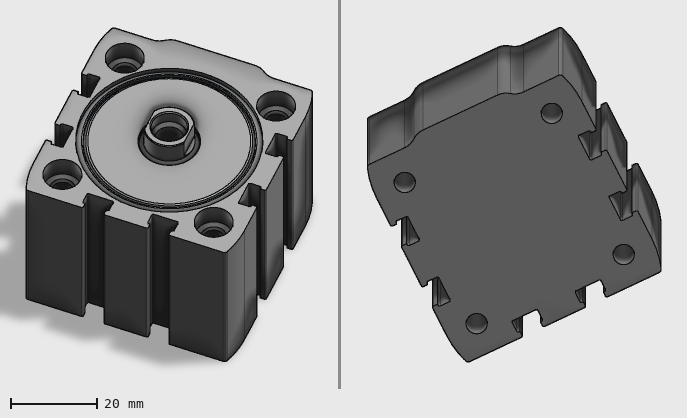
import cadquery as cq
import math

housing_width = 53.0
half_width = housing_width / 2
housing_height = 39.5

housing_length = 55.0
back_y = housing_length - half_width
back_flat_half = 9.55
back_step_length = 5.8

corner_arc_start_y = 18.55
corner_arc_radius = 22.0
corner_fillet = 0.9
corner_pick_margin = 0.05

slot_offset = 8.15
slot_opening = 5.2
slot_inner_width = 6.6
slot_lip = 1.45
slot_depth = 4.5
slot_edge_fillet = 0.4
slot_inner_fillet = 0.4

mount_offset = 19.0
mount_hole_diameter = 4.9
mount_chamfer_diameter = 6.0
mount_counterbore_diameter = 9.0
mount_counterbore_depth = 5.2

cap_recess_diameter = 43.4
cap_edge_diameter = 40.7
cap_groove_diameter = 40.0
cap_bevel_outer_diameter = 38.7
cap_face_diameter = 37.8
cap_depth = 0.4
cap_bevel_depth = 0.15
cap_rim_drop = 0.9
seal_bore_diameter = 14.1
seal_bore_chamfer = 0.2

rod_diameter = 12.0
rod_top_z = 44.5
rod_length = 24.95
rod_top_chamfer = 0.2
rod_flat_width = 10.0
rod_flat_start = 0.2
rod_flat_run_out = 0.5
thread_hole_diameter = 6.65
thread_hole_depth = 12.0
thread_tip_angle = 118.0
relief_diameter = 8.4
relief_depth = 3.3
relief_cone_depth = 0.9
mouth_diameter = 9.0

rod_radius = rod_diameter / 2
rod_bottom_z = rod_top_z - rod_length


def make_block():
    """Extruded outline with curved corners and the raised back."""
    arc_rise = half_width - corner_arc_start_y
    arc_inset = corner_arc_radius - math.sqrt(corner_arc_radius**2 - arc_rise**2)
    middle_rise = arc_rise / 2
    middle_inset = corner_arc_radius - math.sqrt(corner_arc_radius**2 - middle_rise**2)
    corner_x = half_width - arc_inset
    middle_x = half_width - middle_inset
    middle_y = corner_arc_start_y + middle_rise

    step_start_x = back_flat_half + back_step_length
    step_middle_x = back_flat_half + back_step_length / 2
    step_middle_y = (half_width + back_y) / 2

    block = (
        cq.Workplane("XY")
        .moveTo(-corner_x, -half_width)
        .lineTo(corner_x, -half_width)
        .threePointArc((middle_x, -middle_y), (half_width, -corner_arc_start_y))
        .lineTo(half_width, corner_arc_start_y)
        .threePointArc((middle_x, middle_y), (corner_x, half_width))
        .lineTo(step_start_x, half_width)
        .tangentArcPoint((step_middle_x, step_middle_y), relative=False)
        .tangentArcPoint((back_flat_half, back_y), relative=False)
        .lineTo(-back_flat_half, back_y)
        .tangentArcPoint((-step_middle_x, step_middle_y), relative=False)
        .tangentArcPoint((-step_start_x, half_width), relative=False)
        .lineTo(-corner_x, half_width)
        .threePointArc((-middle_x, middle_y), (-half_width, corner_arc_start_y))
        .lineTo(-half_width, -corner_arc_start_y)
        .threePointArc((-middle_x, -middle_y), (-corner_x, -half_width))
        .close()
        .extrude(housing_height)
    )
    for side_x in (-1, 1):
        for side_y in (-1, 1):
            x = side_x * corner_x
            y = side_y * half_width
            corner_edges = cq.selectors.BoxSelector(
                (x - corner_pick_margin, y - corner_pick_margin, 0),
                (x + corner_pick_margin, y + corner_pick_margin, housing_height),
            )
            block = block.edges(corner_edges).fillet(corner_fillet)
    return block


def make_slot_cutter():
    """T-slot cut into the -Y side, centred on x = 0, with rounded opening edges."""
    half_opening = slot_opening / 2
    mouth = half_opening + slot_edge_fillet
    arc_offset = slot_edge_fillet * (1 - math.sqrt(0.5))
    floor_y = slot_depth - half_width
    lip_y = slot_lip - half_width
    opening = (
        cq.Workplane("XY")
        .moveTo(-mouth, -half_width)
        .threePointArc(
            (-half_opening - arc_offset, arc_offset - half_width),
            (-half_opening, slot_edge_fillet - half_width),
        )
        .lineTo(-half_opening, floor_y)
        .lineTo(half_opening, floor_y)
        .lineTo(half_opening, slot_edge_fillet - half_width)
        .threePointArc((half_opening + arc_offset, arc_offset - half_width), (mouth, -half_width))
        .close()
        .extrude(housing_height)
    )
    chamber = (
        cq.Workplane("XY")
        .center(0, (lip_y + floor_y) / 2)
        .rect(slot_inner_width, floor_y - lip_y)
        .extrude(housing_height)
        .edges("|Z")
        .fillet(slot_inner_fillet)
    )
    return opening.union(chamber)


def make_mount_hole_cutter():
    """Through hole with a counterbore and a chamfer at the counterbore floor, on the z axis."""
    hole_radius = mount_hole_diameter / 2
    chamfer_radius = mount_chamfer_diameter / 2
    counterbore_radius = mount_counterbore_diameter / 2
    floor_z = housing_height - mount_counterbore_depth
    return (
        cq.Workplane("XZ")
        .polyline(
            [
                (0, 0),
                (hole_radius, 0),
                (hole_radius, floor_z - (chamfer_radius - hole_radius)),
                (chamfer_radius, floor_z),
                (counterbore_radius, floor_z),
                (counterbore_radius, housing_height),
                (0, housing_height),
            ]
        )
        .close()
        .revolve(360, (0, 0), (0, 1))
    )


def make_cap_cutter():
    """Revolved recess that leaves the sunk cap face, its bevelled rim and the sealing lip."""
    recess_radius = cap_recess_diameter / 2
    edge_radius = cap_edge_diameter / 2
    groove_radius = cap_groove_diameter / 2
    bevel_radius = cap_bevel_outer_diameter / 2
    bore_radius = seal_bore_diameter / 2
    cap_z = housing_height - cap_depth
    bevel_z = cap_z - cap_bevel_depth
    return (
        cq.Workplane("XZ")
        .polyline(
            [
                (0, housing_height),
                (recess_radius, housing_height),
                (recess_radius, cap_z - cap_rim_drop),
                (edge_radius, cap_z),
                (groove_radius, cap_z),
                (groove_radius, bevel_z - (groove_radius - bevel_radius)),
                (bevel_radius, bevel_z),
                (cap_face_diameter / 2, cap_z),
                (bore_radius + seal_bore_chamfer, cap_z),
                (bore_radius, cap_z - seal_bore_chamfer),
                (bore_radius, cap_z - (bore_radius - rod_radius)),
                (rod_radius, cap_z),
                (0, cap_z),
            ]
        )
        .close()
        .revolve(360, (0, 0), (0, 1))
    )


def make_housing():
    housing = make_block()
    slot = make_slot_cutter()
    for side_angle in (-90, 0, 90):
        for offset in (-slot_offset, slot_offset):
            housing = housing.cut(slot.translate((offset, 0, 0)).rotate((0, 0, 0), (0, 0, 1), side_angle))
    mount_hole = make_mount_hole_cutter()
    for x in (-mount_offset, mount_offset):
        for y in (-mount_offset, mount_offset):
            housing = housing.cut(mount_hole.translate((x, y, 0)))
    rod_socket = (
        cq.Workplane("XY", origin=(0, 0, rod_bottom_z))
        .circle(rod_radius)
        .extrude(housing_height - rod_bottom_z)
    )
    return housing.cut(make_cap_cutter()).cut(rod_socket)


def make_flat_cutter():
    """Cutter for the +X wrench flat, whose floor slopes down and outward."""
    flat_x = rod_flat_width / 2
    flat_z = housing_height + rod_flat_start
    return (
        cq.Workplane("XZ")
        .polyline(
            [
                (flat_x, flat_z),
                (rod_radius, flat_z - rod_flat_run_out),
                (rod_radius, rod_top_z),
                (flat_x, rod_top_z),
            ]
        )
        .close()
        .extrude(rod_radius, both=True)
    )


def make_thread_hole_cutter():
    """Blind hole with a chamfered mouth, a wider relief and a drill-point bottom."""
    hole_radius = thread_hole_diameter / 2
    relief_radius = relief_diameter / 2
    mouth_radius = mouth_diameter / 2
    hole_end_z = rod_top_z - thread_hole_depth
    tip_height = hole_radius / math.tan(math.radians(thread_tip_angle / 2))
    return (
        cq.Workplane("XZ")
        .polyline(
            [
                (0, rod_top_z),
                (mouth_radius, rod_top_z),
                (relief_radius, rod_top_z - (mouth_radius - relief_radius)),
                (relief_radius, rod_top_z - relief_depth),
                (hole_radius, rod_top_z - relief_depth - relief_cone_depth),
                (hole_radius, hole_end_z),
                (0, hole_end_z - tip_height),
            ]
        )
        .close()
        .revolve(360, (0, 0), (0, 1))
    )


def make_rod():
    rod = (
        cq.Workplane("XY", origin=(0, 0, rod_bottom_z))
        .circle(rod_radius)
        .extrude(rod_length)
        .faces(">Z")
        .chamfer(rod_top_chamfer)
    )
    flat = make_flat_cutter()
    for side_angle in (0, 180):
        rod = rod.cut(flat.rotate((0, 0, 0), (0, 0, 1), side_angle))
    return rod.cut(make_thread_hole_cutter())


housing = make_housing()
rod = make_rod()

result = cq.Compound.makeCompound([housing.solids().val(), rod.solids().val()])